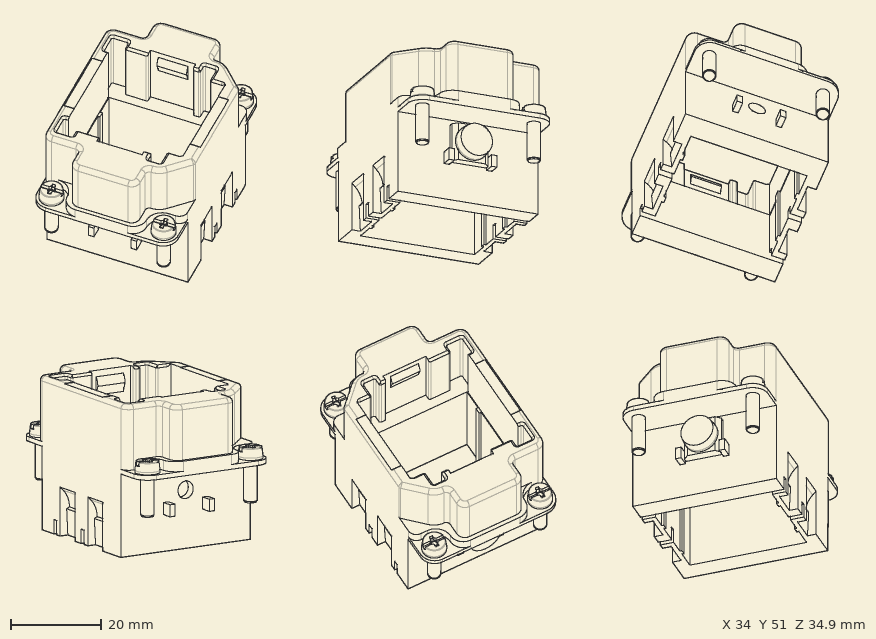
import cadquery as cq
import math

width = 34.0
length = 51.0
height = 34.9
half_width = width / 2
half_length = length / 2

body_half_length = 16.35
cavity_half_width = 13.8
cavity_half_length = 11.4
ledge_z = 20.1

flange_bottom = 19.0
flange_top = 20.1
step_top = 22.4
flange_corner_radius = 3.6
step_neck_half_width = 6.3
step_convex_radius = 3.2
step_concave_radius = 3.75
step_corner_radius = 2.05
step_shoulder_y = half_length - step_convex_radius - step_concave_radius

hood_end_y = 24.55
hood_neck_half_width = 8.05
hood_shoulder_y = step_shoulder_y
hood_corner_radius = step_corner_radius
hood_diagonal_rounding = 0.7
hood_inner_radius = 1.0
hood_bend_radius = 4.6
hood_edge_fillet = 1.0

pocket_half_width = 13.95
pocket_chamfer = 0.55
pocket_corner_radius = 0.4
recess_half_width = 5.45
recess_y = 15.2

pocket_start_y = 11.3
pocket_end_y = 15.85
pocket_left_x = -15.05
pocket_right_x = 10.25
post_y = 13.65
left_post_x = -10.95
right_post_x = 7.15
cut_corner_y = 11.95

latch_half_width = 3.55
latch_depth = 0.7
latch_top = 33.4
latch_crest = 31.35
latch_bottom = 29.2

label_half_width = 16.65
label_half_length = 7.95
label_depth = 0.1

rib_width = 1.45
rib_height = 0.5
rib_y = 5.75

window_width = 6.2
window_y = 5.75
window_top = 11.15
window_slope = 0.8
window_arc_radius = 5.6
window_ledge_drop = 0.35
window_lip_depth = 1.75
window_foot_depth = 2.05

bottom_slots = [(-1.1, 0.1), (10.35, 11.4)]
slot_height = 3.25

peg_width = 1.35
peg_height = 2.75
peg_reach = 2.75
peg_bottom = 8.4
peg_x = 5.15

screw_x = 13.5
screw_y = 21.95
shaft_diameter = 3.0
tip_diameter = 2.7
tip_length = 0.3
shaft_bottom = 10.1
head_diameter = 5.6
head_top_diameter = 5.1
head_rim_top = 20.6
head_top = 22.7
head_rounding = 0.15
drive_depth = 0.9
drive_slot_width = 0.9
drive_cross_width = 0.75
drive_cross_length = 2.95
drive_center_size = 1.75
drive_hole_diameter = 1.45
drive_hole_depth = 1.2

earth_z = 13.35
clamp_size = 8.75
clamp_thickness = 2.2
clamp_chamfer = 1.1
earth_head_diameter = 8.0
earth_head_top_diameter = 7.6
earth_rim_thickness = 0.6
earth_head_thickness = 2.65
earth_hole_diameter = 4.0
earth_hole_depth = 2.05


def box(x0, x1, y0, y1, z0, z1):
    return cq.Workplane("XY").box(x1 - x0, y1 - y0, z1 - z0, centered=False).translate((x0, y0, z0))


def mirrored_pair(solid, plane):
    return solid.union(solid.mirror(plane))


def make_flange():
    plate = box(-half_width, half_width, -half_length, half_length, flange_bottom, flange_top)
    return plate.edges("|Z").fillet(flange_corner_radius)


def make_step():
    """Quarter outline with an S-curve around the screw seat, mirrored to all four corners."""
    diagonal = math.sqrt(0.5)
    convex_center_y = half_length - step_convex_radius
    seat_x = step_neck_half_width + step_convex_radius
    seat_center_x = seat_x + step_concave_radius
    quarter = (
        cq.Workplane("XY")
        .moveTo(0, 0)
        .lineTo(0, half_length)
        .lineTo(step_neck_half_width, half_length)
        .threePointArc(
            (step_neck_half_width + step_convex_radius * diagonal,
             convex_center_y + step_convex_radius * diagonal),
            (seat_x, convex_center_y),
        )
        .threePointArc(
            (seat_center_x - step_concave_radius * diagonal,
             convex_center_y - step_concave_radius * diagonal),
            (seat_center_x, step_shoulder_y),
        )
        .lineTo(half_width - step_corner_radius, step_shoulder_y)
        .radiusArc((half_width, step_shoulder_y - step_corner_radius), step_corner_radius)
        .lineTo(half_width, 0)
        .close()
        .extrude(step_top - flange_bottom)
        .translate((0, 0, flange_bottom))
    )
    return mirrored_pair(mirrored_pair(quarter, "YZ"), "XZ")


def make_hood():
    """Stepped outline: square shoulders on the -X side, 45 degree corners on the +X side."""
    diagonal = math.sqrt(0.5)
    bend_x = hood_neck_half_width + hood_inner_radius
    bend_end_x = bend_x + hood_bend_radius * diagonal
    bend_end_y = hood_shoulder_y - hood_bend_radius * (1 - diagonal)
    diagonal_end_y = bend_end_y - (half_width - bend_end_x)
    half = (
        cq.Workplane("XY")
        .moveTo(-half_width, 0)
        .lineTo(-half_width, hood_shoulder_y - hood_corner_radius)
        .radiusArc((-half_width + hood_corner_radius, hood_shoulder_y), hood_corner_radius)
        .lineTo(-bend_x, hood_shoulder_y)
        .radiusArc((-hood_neck_half_width, hood_shoulder_y + hood_inner_radius), -hood_inner_radius)
        .lineTo(-hood_neck_half_width, hood_end_y - hood_corner_radius)
        .radiusArc((-hood_neck_half_width + hood_corner_radius, hood_end_y), hood_corner_radius)
        .lineTo(hood_neck_half_width - hood_corner_radius, hood_end_y)
        .radiusArc((hood_neck_half_width, hood_end_y - hood_corner_radius), hood_corner_radius)
        .lineTo(hood_neck_half_width, hood_shoulder_y + hood_inner_radius)
        .radiusArc((bend_x, hood_shoulder_y), -hood_inner_radius)
        .radiusArc((bend_end_x, bend_end_y), hood_bend_radius)
        .lineTo(half_width, diagonal_end_y)
        .lineTo(half_width, 0)
        .close()
        .extrude(height - flange_bottom)
        .translate((0, 0, flange_bottom))
    )
    hood = mirrored_pair(half, "XZ").clean()
    for side in (-1, 1):
        corner = (half_width, side * diagonal_end_y, (flange_bottom + height) / 2)
        hood = hood.edges(cq.selectors.NearestToPointSelector(corner)).fillet(hood_diagonal_rounding)
    return hood.faces(">Z").edges().fillet(hood_edge_fillet)


def cavity_tool():
    """Through opening, stepped pocket above the ledge, and the chamfer round the pocket's ends."""
    opening = box(-cavity_half_width, cavity_half_width, -cavity_half_length, cavity_half_length, 0, height)
    pocket = box(
        -pocket_half_width, pocket_half_width, -cavity_half_length, cavity_half_length,
        ledge_z, height,
    )
    recess = box(-recess_half_width, recess_half_width, -recess_y, recess_y, ledge_z, height)

    overlap_x = -10.2
    overlap_y = 9.2
    rim_inner_x = pocket_half_width - pocket_chamfer
    end_outline = [
        (pocket_left_x, pocket_start_y),
        (pocket_left_x, pocket_end_y),
        (left_post_x, pocket_end_y),
        (left_post_x, post_y),
        (right_post_x, post_y),
        (right_post_x, pocket_end_y),
        (pocket_right_x, pocket_end_y),
        (pocket_right_x, cut_corner_y),
        (rim_inner_x, cut_corner_y),
        (rim_inner_x, overlap_y),
        (overlap_x, overlap_y),
        (overlap_x, pocket_start_y),
    ]
    end = (
        cq.Workplane("XY", origin=(0, 0, ledge_z))
        .polyline(end_outline)
        .close()
        .extrude(height - ledge_z)
        .edges("|Z")
        .fillet(pocket_corner_radius)
    )
    corner = box(0, pocket_half_width, 0, cut_corner_y, ledge_z, height)
    rim_wire = end.faces(">Z").wires().val().translate(cq.Vector(0, 0, -pocket_chamfer))
    rim = cq.Workplane("XY").add(rim_wire).toPending().extrude(pocket_chamfer, taper=-45)
    end = end.union(recess)
    for side in (-1, 1):
        post = (side * recess_half_width, post_y, (ledge_z + height) / 2)
        end = end.edges(cq.selectors.NearestToPointSelector(post)).fillet(pocket_corner_radius)
    ends = mirrored_pair(end.union(corner).union(rim), "XZ")
    return opening.union(pocket).union(ends)


def make_latches():
    crest_y = recess_y - latch_depth
    rise = latch_top - latch_crest
    radius = (rise**2 + latch_depth**2) / (2 * latch_depth)
    latch = (
        cq.Workplane("YZ")
        .moveTo(recess_y, latch_top)
        .radiusArc((crest_y, latch_crest), -radius)
        .lineTo(recess_y, latch_bottom)
        .close()
        .extrude(latch_half_width, both=True)
    )
    return mirrored_pair(latch, "XZ")


def label_tool():
    strip = box(
        cavity_half_width, label_half_width, -label_half_length, label_half_length,
        height - label_depth, height,
    )
    return mirrored_pair(strip, "YZ")


def make_ribs():
    rib = box(
        cavity_half_width - rib_height, cavity_half_width,
        rib_y - rib_width / 2, rib_y + rib_width / 2, 0, ledge_z,
    )
    return mirrored_pair(mirrored_pair(rib, "XZ"), "YZ")


def window_tool():
    """Undercut window: 45 degree ceiling, arc down to a ledge, drafted face to the bottom edge."""
    arc_angle = math.radians(45)
    arc_top = window_top - window_slope
    arc_bottom = arc_top - window_arc_radius * math.sin(arc_angle)
    arc_depth = window_slope + window_arc_radius * (1 - math.cos(arc_angle))
    window = (
        cq.Workplane("XZ")
        .moveTo(-half_width, window_top)
        .lineTo(-half_width + window_slope, arc_top)
        .radiusArc((-half_width + arc_depth, arc_bottom), window_arc_radius)
        .lineTo(-half_width + window_lip_depth, arc_bottom - window_ledge_drop)
        .lineTo(-half_width + window_foot_depth, 0)
        .lineTo(-half_width, 0)
        .close()
        .extrude(window_width / 2, both=True)
        .translate((0, window_y, 0))
    )
    return mirrored_pair(mirrored_pair(window, "XZ"), "YZ")


def slot_tool():
    slots = cq.Workplane("XY")
    for start, end in bottom_slots:
        slots = slots.union(box(-half_width, half_width, start, end, 0, slot_height))
    return slots


def make_pegs():
    peg = box(
        peg_x - peg_width / 2, peg_x + peg_width / 2,
        body_half_length, body_half_length + peg_reach,
        peg_bottom, peg_bottom + peg_height,
    )
    return mirrored_pair(mirrored_pair(peg, "YZ"), "XZ")


def make_screw():
    body = (
        cq.Workplane("XZ")
        .moveTo(0, shaft_bottom)
        .lineTo(tip_diameter / 2, shaft_bottom)
        .lineTo(tip_diameter / 2, shaft_bottom + tip_length)
        .lineTo(shaft_diameter / 2, shaft_bottom + tip_length)
        .lineTo(shaft_diameter / 2, flange_top)
        .lineTo(head_diameter / 2, flange_top)
        .lineTo(head_diameter / 2, head_rim_top)
        .lineTo(head_top_diameter / 2, head_top)
        .lineTo(0, head_top)
        .close()
        .revolve(360, (0, 0, 0), (0, 1, 0))
        .faces(">Z")
        .edges()
        .fillet(head_rounding)
    )
    top = body.faces(">Z").workplane(origin=(0, 0, head_top))
    slot = top.rect(head_diameter, drive_slot_width).extrude(-drive_depth, combine=False)
    cross = top.rect(drive_cross_width, drive_cross_length).extrude(-drive_depth, combine=False)
    center = top.transformed(rotate=(0, 0, 45)).rect(drive_center_size, drive_center_size)
    center = center.extrude(-drive_depth, combine=False)
    hole = top.circle(drive_hole_diameter / 2).extrude(-drive_hole_depth, combine=False)
    return body.cut(slot).cut(cross).cut(center).cut(hole)


def make_earth_terminal():
    clamp = (
        cq.Workplane("XZ", origin=(0, body_half_length, earth_z))
        .rect(clamp_size, clamp_size)
        .extrude(-clamp_thickness)
        .faces(">Y")
        .edges("|Z")
        .chamfer(clamp_chamfer)
    )
    head = (
        cq.Workplane("XY")
        .lineTo(earth_head_diameter / 2, 0)
        .lineTo(earth_head_diameter / 2, earth_rim_thickness)
        .lineTo(earth_head_top_diameter / 2, earth_head_thickness)
        .lineTo(0, earth_head_thickness)
        .close()
        .revolve(360, (0, 0, 0), (0, 1, 0))
        .translate((0, body_half_length + clamp_thickness, earth_z))
    )
    return clamp.union(head)


def earth_hole_tool():
    return (
        cq.Workplane("XZ", origin=(0, -body_half_length, earth_z))
        .circle(earth_hole_diameter / 2)
        .extrude(-earth_hole_depth)
    )


body = box(-half_width, half_width, -body_half_length, body_half_length, 0, step_top)
housing = body.union(make_flange()).union(make_step()).union(make_hood())
housing = housing.cut(cavity_tool()).cut(label_tool())
housing = housing.union(make_latches()).union(make_ribs())
housing = housing.cut(window_tool()).cut(slot_tool()).cut(earth_hole_tool())
housing = housing.union(make_pegs()).union(make_earth_terminal())

screw = make_screw()
for x in (-screw_x, screw_x):
    for y in (-screw_y, screw_y):
        housing = housing.union(screw.translate((x, y, 0)))

result = housing